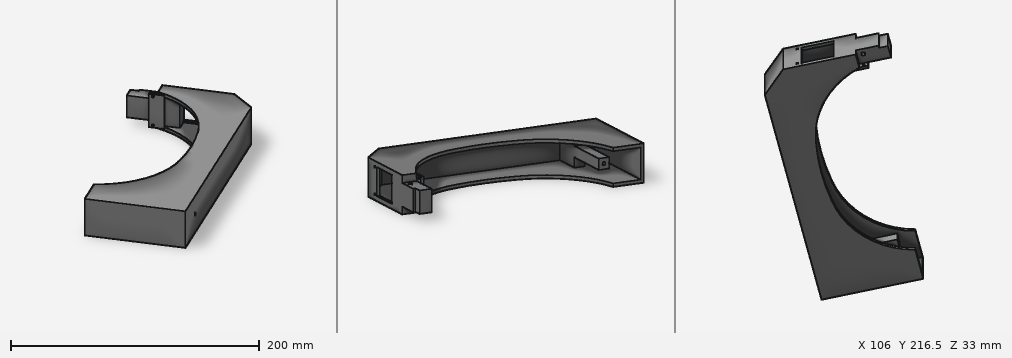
import cadquery as cq

length_x = 106.0
length_y = 216.5
height = 33.0
mid_z = height / 2
flange = 3.0
wall = 2.8
chamfer = 20.0
inner_height = height - 2 * flange

upper_tip_x = 26.2
lower_tip_x = 21.9
tip_upper_y = 203.5
tip_lower_y = 28.0
palm_x = 76.5
palm_upper_y = 142.0
palm_lower_y = 88.7
upper_radius = 74.5
palm_radius = 173.1
lower_radius = 71.0

tongue_y = 203.2
tongue_height = 19.7
tongue_step_x = 7.1
tongue_step = 2.2
plug_end_x = 44.4
pin_x, pin_y = 21.0, 211.6
pin_diameter = 3.2

clip_x = 19.0
clip_length = 13.0
clip_thickness = 2.4
clip_height = 29.9
clip_hole_x = 22.5
clip_hole_spacing = 26.0
screw_diameter = 1.7

window_end_x = 71.0
window_height = 24.2
window_hole_x = 74.5
window_hole_spacing = 23.0

bar_x = 35.3
bar_y = 24.5
bar_width = 9.5
bar_height = 9.5
rib_x = 78.0
bar_hole_diameter = 2.5


def box(x0, x1, y0, y1, size_z):
    """Box between the given X and Y limits, centred on the mid height."""
    centre = ((x0 + x1) / 2, (y0 + y1) / 2, mid_z)
    return cq.Workplane("XY").box(x1 - x0, y1 - y0, size_z).translate(centre)


def drill_y(x, y0, y1, spacing):
    """Pair of screw holes along Y, spaced evenly about the mid height."""
    return (
        cq.Workplane("XZ", origin=(x, y1, mid_z))
        .pushPoints([(0, -spacing / 2), (0, spacing / 2)])
        .circle(screw_diameter / 2)
        .extrude(y1 - y0)
    )


def make_housing():
    outline = (
        cq.Workplane("XY")
        .moveTo(lower_tip_x, 0)
        .lineTo(length_x, 0)
        .lineTo(length_x, length_y - chamfer)
        .lineTo(length_x - chamfer, length_y)
        .lineTo(upper_tip_x, length_y)
        .lineTo(upper_tip_x, tip_upper_y)
        .radiusArc((palm_x, palm_upper_y), upper_radius)
        .radiusArc((palm_x, palm_lower_y), palm_radius)
        .radiusArc((lower_tip_x, tip_lower_y), lower_radius)
        .close()
        .extrude(height)
    )
    cavity = (
        box(0, length_x - wall, wall, length_y - wall, inner_height)
        .edges("|Z and >X and >Y")
        .chamfer(chamfer - wall * (2 - 2 ** 0.5))
    )
    window = box(plug_end_x, window_end_x, length_y - wall, length_y, window_height)
    screws = drill_y(window_hole_x, length_y - wall, length_y, window_hole_spacing)
    return outline.cut(cavity).cut(window).cut(screws)


def make_tongue():
    tongue = box(0, upper_tip_x, tongue_y, length_y - tongue_step, tongue_height)
    step = box(tongue_step_x, upper_tip_x, tongue_y, length_y, tongue_height)
    plug = box(upper_tip_x, plug_end_x, tongue_y, length_y, inner_height)
    pin_hole = (
        cq.Workplane("XY").center(pin_x, pin_y).circle(pin_diameter / 2).extrude(height)
    )
    return tongue.union(step).union(plug).cut(pin_hole)


def make_clip():
    clip_y = tongue_y - clip_thickness
    plate = box(clip_x, clip_x + clip_length, clip_y, tongue_y, clip_height)
    return plate.cut(drill_y(clip_hole_x, clip_y, tongue_y, clip_hole_spacing))


def make_bar():
    bar = box(bar_x, length_x - wall, bar_y, bar_y + bar_width, bar_height)
    rib = box(rib_x, length_x - wall, bar_y, bar_y + bar_width, inner_height)
    return bar.union(rib)


bar_hole = (
    cq.Workplane("YZ", origin=(bar_x, bar_y + bar_width / 2, mid_z))
    .circle(bar_hole_diameter / 2)
    .extrude(length_x - bar_x)
)

result = (
    make_housing()
    .union(make_tongue())
    .union(make_clip())
    .union(make_bar())
    .cut(bar_hole)
)